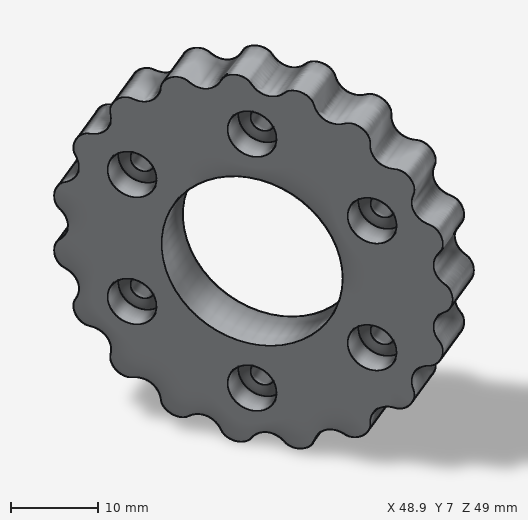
import cadquery as cq
import math

lobe_count = 19
pin_count = lobe_count + 1
pin_circle_radius = 26.0
pin_radius = 2.4
eccentricity = 1.0
thickness = 7.0
samples_per_lobe = 16

bore_diameter = 22.2

bolt_count = 6
bolt_circle_radius = 17.0
first_bolt_angle = 90
bolt_hole_diameter = 3.0
counterbore_diameter = 6.0
counterbore_depth = thickness / 2


def cycloid_point(angle):
    """Point on the disc edge: an epitrochoid offset inward by the pin radius."""
    x = pin_circle_radius * math.cos(angle) + eccentricity * math.cos(pin_count * angle)
    z = pin_circle_radius * math.sin(angle) + eccentricity * math.sin(pin_count * angle)
    slope_x = -pin_circle_radius * math.sin(angle) - pin_count * eccentricity * math.sin(pin_count * angle)
    slope_z = pin_circle_radius * math.cos(angle) + pin_count * eccentricity * math.cos(pin_count * angle)
    slope_length = math.hypot(slope_x, slope_z)
    return (
        x - pin_radius * slope_z / slope_length,
        z + pin_radius * slope_x / slope_length,
    )


def make_disc():
    """Lobed disc with its -Y face on the XZ plane."""
    sample_count = lobe_count * samples_per_lobe
    edge_points = [cycloid_point(2 * math.pi * i / sample_count) for i in range(sample_count)]
    outline = cq.Workplane("XZ").spline(edge_points, periodic=True).close()
    return outline.extrude(-thickness)


def cut_bore(body):
    """Central bore through the full thickness."""
    bore = cq.Workplane("XZ").circle(bore_diameter / 2).extrude(-thickness)
    return body.cut(bore)


def cut_bolt_holes(body):
    """Ring of counterbored holes, one of them on the +Z axis."""
    centres = cq.Workplane("XZ").polarArray(bolt_circle_radius, first_bolt_angle, 360, bolt_count)
    holes = centres.circle(bolt_hole_diameter / 2).extrude(-thickness)
    counterbores = centres.circle(counterbore_diameter / 2).extrude(-counterbore_depth)
    return body.cut(holes).cut(counterbores)


result = cut_bolt_holes(cut_bore(make_disc()))